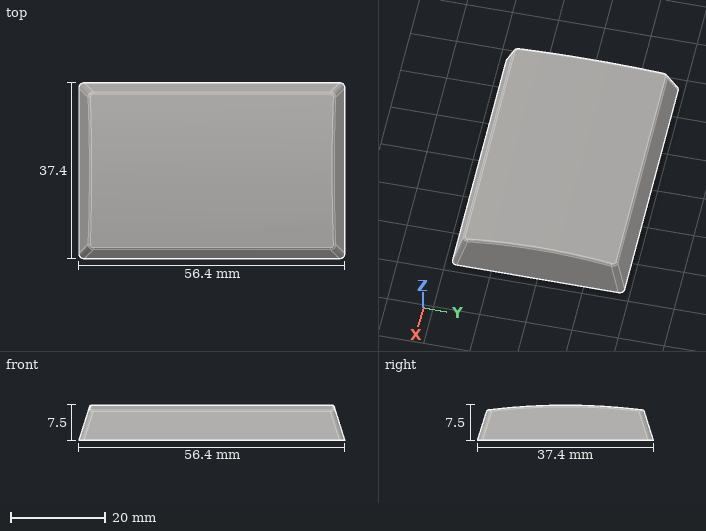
import cadquery as cq

length = 56.4
width = 37.35
height = 7.5

wall_lean = 17.5

crown_drop = 1.0
crown_half_width = 16.35
crown_radius = (crown_half_width**2 + crown_drop**2) / (2 * crown_drop)

corner_radius = 1.2
rim_radius = 0.5


def tapered_block():
    """Rectangular block with leaning walls and rounded corner edges."""
    block = cq.Workplane("XY").rect(length, width).extrude(height, taper=wall_lean)
    corner_edges = block.edges("not(|X or |Y)")
    return corner_edges.fillet(corner_radius)


def crown_cylinder():
    """Long cylinder along X whose upper surface forms the domed top."""
    return (
        cq.Workplane("YZ")
        .center(0, height - crown_radius)
        .circle(crown_radius)
        .extrude(length / 2, both=True)
    )


domed_block = tapered_block().intersect(crown_cylinder())

result = domed_block.faces(">Z").edges().fillet(rim_radius)